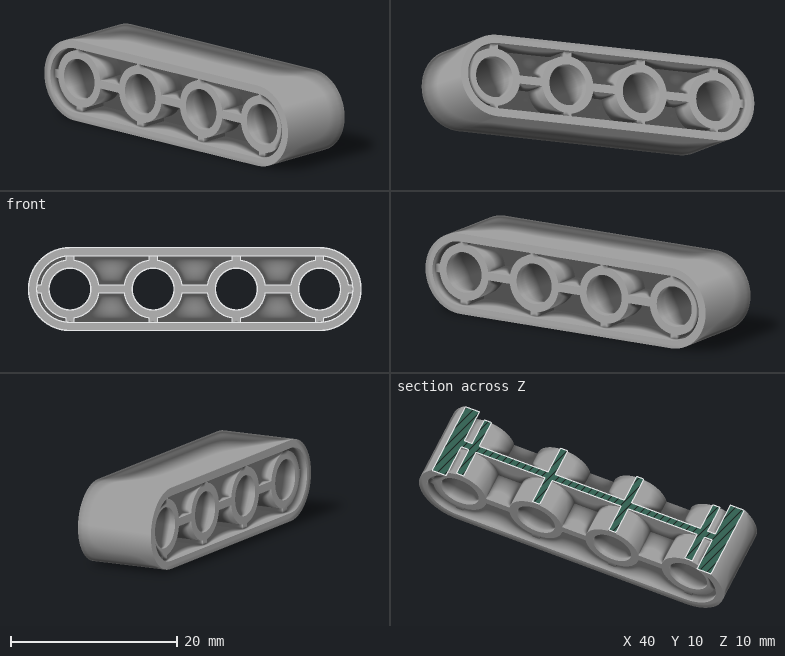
import cadquery as cq

length = 40.0
height = 10.0
depth = 10.0
hole_count = 4
hole_diameter = 5.0
tube_diameter = 7.0
wall = 1.0
rib = 1.0
face_recess = 0.8
floor_thickness = 1.0

pitch = length / hole_count
cavity_length = length - 2 * wall
cavity_height = height - 2 * wall
core_depth = depth - 2 * face_recess
hole_centers = [((i - (hole_count - 1) / 2) * pitch, 0) for i in range(hole_count)]


def centered_along_y(sketch, thickness):
    """Extrude an XZ sketch equally to both sides of the mid plane."""
    return sketch.extrude(thickness / 2, both=True)


def stadium(total_length, total_height, thickness):
    """Bar with full round ends, lying along X."""
    return centered_along_y(cq.Workplane("XZ").slot2D(total_length, total_height), thickness)


def cylinders(diameter, thickness):
    """One round bar along Y at every hole center."""
    return centered_along_y(cq.Workplane("XZ").pushPoints(hole_centers).circle(diameter / 2), thickness)


def ribs():
    """One long rib through all tubes and a cross rib at each tube, trimmed to the rounded outline."""
    long_rib = centered_along_y(cq.Workplane("XZ").rect(length, rib), core_depth)
    cross_ribs = centered_along_y(cq.Workplane("XZ").pushPoints(hole_centers).rect(rib, height), core_depth)
    return long_rib.union(cross_ribs).intersect(stadium(length, height, core_depth))


rim = stadium(length, height, depth).cut(stadium(cavity_length, cavity_height, depth))
pocket_floor = stadium(length, height, floor_thickness)
tubes = cylinders(tube_diameter, core_depth)
holes = cylinders(hole_diameter, depth)

result = rim.union(pocket_floor).union(tubes).union(ribs()).cut(holes)